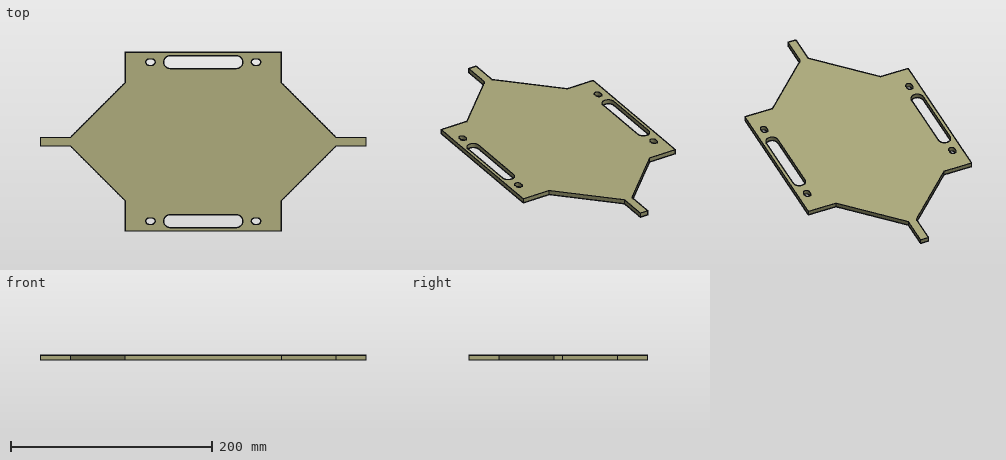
import cadquery as cq

length = 323.5
width = 177.5
thickness = 5.0

body_length = 155.0
body_side = 30.0
tab_width = 8.7

row_spacing = 158.0
handle_length = 78.3
handle_width = 12.5
mount_spacing = 104.8
mount_length = 9.0
mount_width = 6.0

half_length = length / 2
half_width = width / 2
half_body = body_length / 2
half_tab = tab_width / 2
shoulder_y = half_width - body_side
tab_root_x = half_body + shoulder_y - half_tab


def make_plate():
    """Plate outline, drawn as one quarter and mirrored to the other three."""
    quarter = (
        cq.Workplane("XY")
        .moveTo(0, 0)
        .lineTo(half_length, 0)
        .lineTo(half_length, half_tab)
        .lineTo(tab_root_x, half_tab)
        .lineTo(half_body, shoulder_y)
        .lineTo(half_body, half_width)
        .lineTo(0, half_width)
        .close()
        .extrude(thickness)
    )
    half = quarter.union(quarter.mirror("YZ"))
    return half.union(half.mirror("XZ")).clean()


def cut_slots(plate, centers, slot_length, slot_width):
    """Cut round-ended slots, long along X, right through the plate."""
    cutters = (
        cq.Workplane("XY")
        .pushPoints(centers)
        .slot2D(slot_length, slot_width)
        .extrude(thickness)
    )
    return plate.cut(cutters)


row_positions = [-row_spacing / 2, row_spacing / 2]
mount_positions = [-mount_spacing / 2, mount_spacing / 2]
handle_centers = [(0, y) for y in row_positions]
mount_centers = [(x, y) for x in mount_positions for y in row_positions]

result = make_plate()
result = cut_slots(result, handle_centers, handle_length, handle_width)
result = cut_slots(result, mount_centers, mount_length, mount_width)